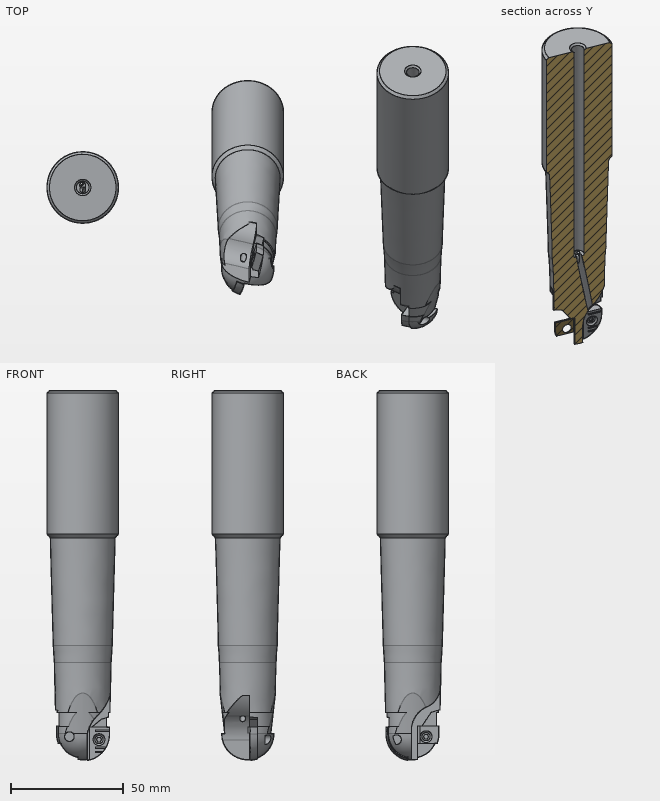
import cadquery as cq
import math


length = 163.7
shank_radius = 15.9
end_chamfer = 1.1
shank_bottom_z = 100.2
shoulder_radius = 14.4
shoulder_z = 98.5
taper_end_radius = 13.1
taper_end_z = 50.7
neck_top_radius = 12.6
neck_top_z = 43.2
neck_bottom_radius = 12.1
relief_radius = 11.5
relief_top_z = 21.1
relief_bottom_z = 14.9
ball_radius = 11.6
ball_center_z = 11.8

bore_radius = 2.8
bore_mouth_radius = 3.6
bore_bottom_z = 49.1
branch_radius = 1.3
branch_start_offset = 1.0
main_branch_exit = (5.5, 2.3, 17.0)
second_branch_exit = (1.1, 2.3, 18.7)

scallop_radius = 19.6
scallop_tilt = 6.5
scallop_top_z = 29.8

seat_y = 0.8
main_wall_x = 1.8
second_wall_x = -0.7
lean_x = 6.4
lean_z = 19.6
lean_rise = 10.6
runout_x = 12.1
runout_z = 28.8
second_flute_lift = 4.1
beyond = 19.6

rake_y = 1.0
insert_thickness = 3.5
back_y = rake_y + insert_thickness
insert_inner_x = 2.1
inner_bevel = 1.0
main_radius = 12.0
main_top_z = 14.7
second_radius = 11.6
second_bottom_z = 7.5
second_top_z = 15.2
lowest_corner_radius = math.hypot(insert_inner_x, rake_y + inner_bevel)
insert_center_z = math.sqrt(main_radius**2 - lowest_corner_radius**2)

recess_inner_x = 4.1
recess_bend_x = 8.2
recess_outer_x = 11.5
recess_roof_rise = 1.0
main_recess_top_z = 19.2
second_recess_top_z = 22.3

main_screw = (7.2, 9.2)
second_screw = (5.9, 10.5)
head_radius = 2.6
head_floor_radius = 1.8
head_depth = 0.8
socket_width = 2.3
socket_depth = 0.8
exit_radius = 2.1
exit_floor_y = 7.5

groove_heights = (13.1, 5.5, 3.6)
groove_inner_x = 5.5
groove_width = 0.5
groove_depth = 0.3


def half_turn(shape):
    return shape.rotate((0, 0, 0), (0, 0, 1), 180)


def block(x_range, y_range, z_range):
    (x0, x1), (y0, y1), (z0, z1) = x_range, y_range, z_range
    return cq.Workplane("XY").box(x1 - x0, y1 - y0, z1 - z0, centered=False).translate((x0, y0, z0))


def turned_body():
    return (
        cq.Workplane("XZ")
        .moveTo(0, length)
        .lineTo(shank_radius - end_chamfer, length)
        .lineTo(shank_radius, length - end_chamfer)
        .lineTo(shank_radius, shank_bottom_z)
        .lineTo(shoulder_radius, shoulder_z)
        .lineTo(taper_end_radius, taper_end_z)
        .lineTo(neck_top_radius, neck_top_z)
        .lineTo(neck_bottom_radius, relief_top_z)
        .lineTo(relief_radius, relief_top_z)
        .lineTo(relief_radius, relief_bottom_z)
        .lineTo(ball_radius, relief_bottom_z)
        .lineTo(ball_radius, ball_center_z)
        .radiusArc((0, ball_center_z - ball_radius), ball_radius)
        .close()
        .revolve(360, (0, 0, 0), (0, 1, 0))
    )


def scallop_cutter():
    """Everything on the -Y side, below the neck, outside the tilted scallop cylinder."""
    neck_slope = (neck_top_radius - neck_bottom_radius) / (neck_top_z - relief_top_z)
    top_y = neck_bottom_radius + neck_slope * (scallop_top_z - relief_top_z)
    keep = (
        cq.Workplane("XY")
        .circle(scallop_radius)
        .extrude(2 * length, both=True)
        .translate((0, scallop_radius - top_y, scallop_top_z))
        .rotate((0, -top_y, scallop_top_z), (1, -top_y, scallop_top_z), scallop_tilt)
    )
    return block((-beyond, beyond), (-beyond, 0), (ball_center_z, scallop_top_z)).cut(keep)


def flute_cutter(wall_x, lift):
    """Flute on the +X, -Y side with its wall at wall_x and its runout raised by lift."""
    return (
        cq.Workplane("XZ", origin=(0, seat_y, 0))
        .moveTo(wall_x, -beyond)
        .lineTo(wall_x, lean_z + lift - lean_rise)
        .tangentArcPoint((lean_x, lean_z + lift), relative=False)
        .tangentArcPoint((runout_x, runout_z + lift), relative=False)
        .lineTo(beyond, runout_z + lift)
        .lineTo(beyond, -beyond)
        .close()
        .extrude(beyond)
    )


def insert_pocket(top_z, recess_top_z):
    """Seat of an insert, open to the tip and the flank, with the recess above it."""
    seat = block((insert_inner_x, beyond), (0, back_y), (-beyond, top_z))
    recess = (
        cq.Workplane("XZ")
        .moveTo(recess_inner_x, top_z)
        .lineTo(recess_bend_x, recess_top_z - recess_roof_rise)
        .lineTo(recess_outer_x, recess_top_z)
        .lineTo(beyond, recess_top_z)
        .lineTo(beyond, top_z)
        .close()
        .extrude(-back_y)
    )
    return seat.union(recess)


def screw_exit(place):
    x, z = place
    return cq.Workplane("XZ", origin=(x, exit_floor_y, z)).circle(exit_radius).extrude(-beyond)


def coolant_bore():
    mouth_depth = bore_mouth_radius - bore_radius
    return (
        cq.Workplane("XZ")
        .moveTo(0, length)
        .lineTo(bore_mouth_radius, length)
        .lineTo(bore_radius, length - mouth_depth)
        .lineTo(bore_radius, bore_bottom_z)
        .lineTo(0, bore_bottom_z)
        .close()
        .revolve(360, (0, 0, 0), (0, 1, 0))
    )


def coolant_branch(exit_place):
    """Slanted hole from the bottom of the bore to the flute on the +X, -Y side."""
    exit_x, exit_y, exit_z = exit_place
    start = cq.Vector(0, -branch_start_offset, bore_bottom_z)
    run = cq.Vector(exit_x, -exit_y, exit_z) - start
    return cq.Workplane(cq.Solid.makeCylinder(branch_radius, run.Length + branch_radius, start, run))


def make_body():
    body = turned_body()
    scallop = scallop_cutter()
    main_flute = flute_cutter(main_wall_x, 0)
    second_flute = flute_cutter(second_wall_x, second_flute_lift)
    main_pocket = insert_pocket(main_top_z, main_recess_top_z)
    second_pocket = insert_pocket(second_top_z, second_recess_top_z)
    main_branch = coolant_branch(main_branch_exit)
    second_branch = coolant_branch(second_branch_exit)
    main_side = (scallop, main_flute, main_pocket, screw_exit(main_screw), main_branch)
    second_side = (scallop, second_flute, second_pocket, screw_exit(second_screw), second_branch)
    for cutter in main_side:
        body = body.cut(cutter)
    for cutter in second_side:
        body = body.cut(half_turn(cutter))
    return body.cut(coolant_bore())


def insert_with_screw(radius, bottom_z, top_z, screw):
    """Round-edged insert facing -Y, with its sunk screw head as one solid."""
    ball = cq.Workplane("XY").sphere(radius).translate((0, 0, insert_center_z))
    upper = cq.Workplane("XY", origin=(0, 0, insert_center_z)).circle(radius).extrude(beyond)
    plate = block((insert_inner_x, beyond), (rake_y, back_y), (bottom_z, top_z))
    plate = plate.faces("<X").edges("|Z and <Y").chamfer(inner_bevel)
    plate = plate.intersect(ball.union(upper))

    x, z = screw
    face = cq.Workplane("XZ", origin=(x, rake_y, z))
    sunk_head = face.circle(head_radius).workplane(offset=-head_depth).circle(head_floor_radius).loft()
    socket = face.polygon(6, socket_width).extrude(-head_depth - socket_depth)
    return plate.cut(sunk_head).cut(socket)


def make_main_insert():
    insert = insert_with_screw(main_radius, 0, main_top_z, main_screw)
    for height in groove_heights:
        z_range = (height - groove_width / 2, height + groove_width / 2)
        insert = insert.cut(block((groove_inner_x, beyond), (rake_y, rake_y + groove_depth), z_range))
    return insert


def make_second_insert():
    return half_turn(insert_with_screw(second_radius, second_bottom_z, second_top_z, second_screw))


body = make_body()
main_insert = make_main_insert()
second_insert = make_second_insert()

bodies = (body, main_insert, second_insert)
result = cq.Compound.makeCompound([part.solids().val() for part in bodies])